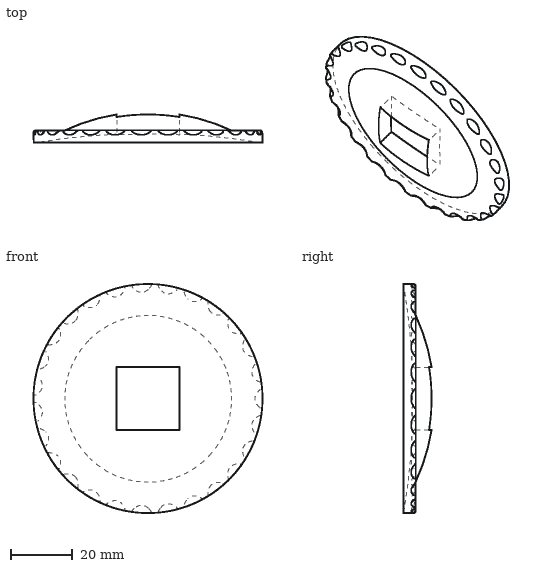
import cadquery as cq
import math

disc_radius = 37.0
rim_thickness = 4.0
rim_round_radius = 0.75

hole_side = 20.3
dome_base_radius = 26.9
dome_sphere_radius = 63.65
dish_sphere_radius = 222.0

scallop_count = 27
scallop_depth = 1.5
scallop_radius = 5.55
scallop_tilt = 30.0
scallop_cutter_length = 11.85


def sphere_sag(sphere_radius, chord_radius):
    """Height of a spherical cap above the circle where it ends."""
    return sphere_radius - math.sqrt(sphere_radius**2 - chord_radius**2)


def make_domed_disc():
    """Revolve the half section: X is the radius, Y is the axis."""
    dish_depth = sphere_sag(dish_sphere_radius, disc_radius)
    dish_mid_radius = disc_radius / 2
    dish_mid_height = dish_depth - sphere_sag(dish_sphere_radius, dish_mid_radius)
    dome_rise = sphere_sag(dome_sphere_radius, dome_base_radius)
    dome_top = rim_thickness + dome_rise
    dome_mid_radius = dome_base_radius / 2
    dome_mid_height = dome_top - sphere_sag(dome_sphere_radius, dome_mid_radius)
    return (
        cq.Workplane("XY")
        .moveTo(0, dish_depth)
        .threePointArc((dish_mid_radius, dish_mid_height), (disc_radius, 0))
        .lineTo(disc_radius, rim_thickness - rim_round_radius)
        .radiusArc((disc_radius - rim_round_radius, rim_thickness), -rim_round_radius)
        .lineTo(dome_base_radius, rim_thickness)
        .threePointArc((dome_mid_radius, dome_mid_height), (0, dome_top))
        .close()
        .revolve(360, (0, 0, 0), (0, 1, 0))
    )


def make_square_hole():
    """Square bar along Y, longer than the disc is thick."""
    return cq.Workplane("XZ").rect(hole_side, hole_side).extrude(disc_radius, both=True)


def make_scallop_cutter():
    """Cylinder at the +X side, tilted so that it runs out through the back of the rim."""
    tilt = math.radians(scallop_tilt)
    axis = cq.Vector(-math.cos(tilt), math.sin(tilt), 0)
    lowest_point = cq.Vector(disc_radius, rim_thickness - scallop_depth, 0)
    lift = cq.Vector(math.sin(tilt), math.cos(tilt), 0) * scallop_radius
    start = lowest_point + lift - axis * (scallop_cutter_length / 2)
    return cq.Solid.makeCylinder(scallop_radius, scallop_cutter_length, start, axis)


result = make_domed_disc().cut(make_square_hole())

scallop_cutter = make_scallop_cutter()
for index in range(scallop_count):
    angle = index * 360 / scallop_count
    turned_cutter = scallop_cutter.rotate(cq.Vector(0, 0, 0), cq.Vector(0, 1, 0), angle)
    result = result.cut(cq.Workplane(turned_cutter))